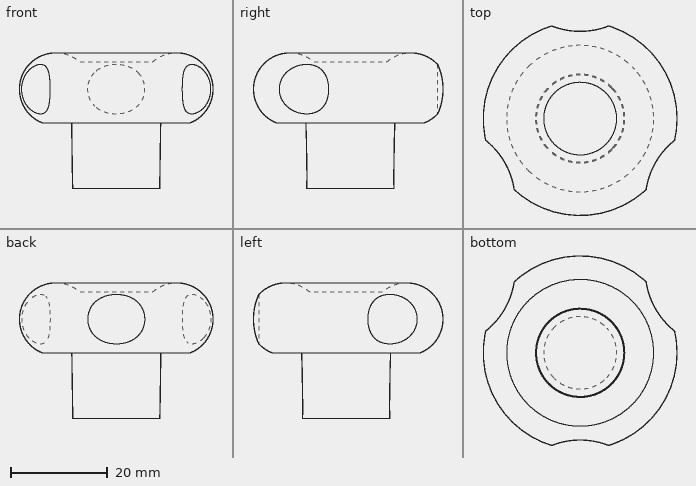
import cadquery as cq
import math

outer_radius = 20.0
total_height = 28.0
head_height = 14.5
rim_diameter = 15.0
dish_diameter = 15.0
stem_bottom_radius = 9.0
stem_top_radius = 9.2
grip_count = 3
grip_radius = 16.0
grip_depth = 2.0
first_grip_angle = 90.0

rim_radius = rim_diameter / 2
dish_radius = dish_diameter / 2
head_bottom = total_height - head_height
rim_center_r = outer_radius - rim_radius
rim_center_z = total_height - rim_radius


def rim_half_chord(offset):
    """Half chord of the rim circle at the given distance from its centre."""
    return math.sqrt(rim_radius**2 - offset**2)


def make_body():
    """Revolve the stem, rounded head and sunken top floor about Z."""
    head_bottom_radius = rim_center_r + rim_half_chord(rim_center_z - head_bottom)
    dish_z = rim_center_z + rim_half_chord(rim_center_r - dish_radius)
    return (
        cq.Workplane("XZ")
        .lineTo(stem_bottom_radius, 0)
        .lineTo(stem_top_radius, head_bottom)
        .lineTo(head_bottom_radius, head_bottom)
        .threePointArc((outer_radius, rim_center_z), (dish_radius, dish_z))
        .lineTo(0, dish_z)
        .close()
        .revolve(360, (0, 0, 0), (0, 1, 0))
    )


def make_grips():
    """Upright cylinders that scoop the finger grips out of the rim."""
    grip_center_r = outer_radius - grip_depth + grip_radius
    return (
        cq.Workplane("XY")
        .workplane(offset=head_bottom)
        .polarArray(grip_center_r, first_grip_angle, 360, grip_count)
        .circle(grip_radius)
        .extrude(head_height)
    )


result = make_body().cut(make_grips())